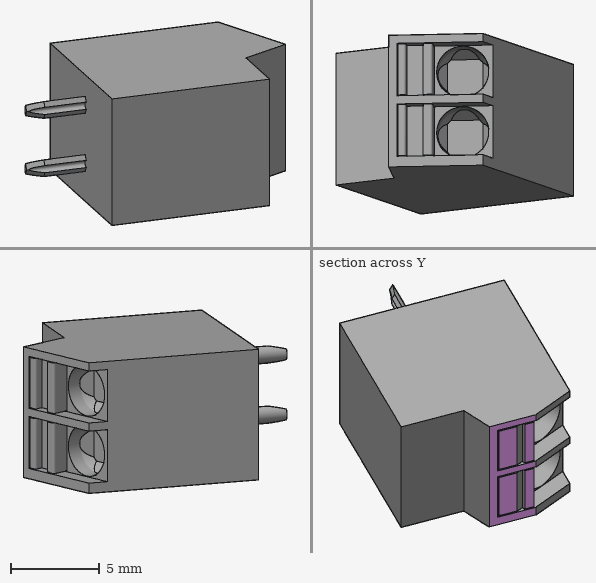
import cadquery as cq
import math

width = 10.0
total_length = 15.9
height = 7.6
pin_length = 3.5
peak_y = total_length - pin_length
peak_x = 4.85
shoulder_y = 9.51
slant_angle = 25.0

terminal_count = 2
terminal_pitch = 3.5
wall = 0.48
pocket_height = terminal_pitch - wall
pocket_depth = 1.0

button_start = 2.85
button_gap = 0.05
button_edge_radius = 0.15
slot_start = 3.39
slot_width = 0.97
slot_depth = 0.5

bore_radius = 1.48
bore_position = 1.24
bore_depth = 0.92
flats_depth = 0.89
funnel_depth = 0.64
cone_angle = 16.0
flat_angle = 35.0

pin_left = 5.3
pin_top_offset = 1.8
pin_bend_radius = 0.5
pin_thickness = 0.33
pin_arm = 0.16
pin_bend_angle = 60.0
pin_tip_length = 1.0
pin_tip_cut = 0.33

slant = math.radians(slant_angle)
slant_length = peak_x / math.cos(slant)
slant_start_y = peak_y - peak_x * math.tan(slant)
overshoot = 1.59


def make_housing():
    shoulder_x = peak_x + (peak_y - shoulder_y) * math.tan(slant)
    return (
        cq.Workplane("XY")
        .moveTo(0, 0)
        .lineTo(width, 0)
        .lineTo(width, shoulder_y)
        .lineTo(shoulder_x, shoulder_y)
        .lineTo(peak_x, peak_y)
        .lineTo(0, slant_start_y)
        .close()
        .extrude(height)
    )


def slanted_sketch(bottom_z):
    """Horizontal sketch: x runs up the slanted face, y points out of the housing."""
    plane = cq.Plane(
        origin=(0, slant_start_y, bottom_z),
        xDir=(math.cos(slant), math.sin(slant), 0),
        normal=(0, 0, 1),
    )
    return cq.Workplane(plane)


def make_pocket(z):
    """Pocket open to the slanted face and to the -X side."""
    return (
        slanted_sketch(z - pocket_height / 2)
        .moveTo(-overshoot, -pocket_depth)
        .lineTo(slant_length - wall, -pocket_depth)
        .lineTo(slant_length - wall, overshoot)
        .lineTo(-overshoot, overshoot)
        .close()
        .extrude(pocket_height)
    )


def make_button(z):
    """Slotted button flush with the slanted face, rounded on the wire-entry side."""
    radius = button_edge_radius
    button_height = pocket_height - 2 * button_gap
    button_end = slant_length - wall - button_gap
    slot_end = slot_start + slot_width
    return (
        slanted_sketch(z - button_height / 2)
        .moveTo(button_start, -pocket_depth)
        .lineTo(button_start, -radius)
        .radiusArc((button_start + radius, 0), radius)
        .lineTo(slot_start, 0)
        .lineTo(slot_start, -slot_depth)
        .lineTo(slot_end, -slot_depth)
        .lineTo(slot_end, -radius)
        .radiusArc((slot_end + radius, 0), radius)
        .lineTo(button_end, 0)
        .lineTo(button_end, -pocket_depth)
        .close()
        .extrude(button_height)
    )


def make_wire_entry(z):
    """Round bore square to the slanted face, ending in a four-sided funnel."""
    slanted_face = cq.Plane(
        origin=(0, slant_start_y, z),
        xDir=(math.cos(slant), math.sin(slant), 0),
        normal=(-math.sin(slant), math.cos(slant), 0),
    )
    floor = (
        cq.Workplane(slanted_face)
        .workplane(offset=-pocket_depth)
        .center(bore_position, 0)
    )
    bore = floor.circle(bore_radius).extrude(-bore_depth)
    cone = (
        floor.workplane(offset=-bore_depth)
        .circle(bore_radius)
        .extrude(-funnel_depth, taper=cone_angle)
    )
    square_top = floor.rect(2 * bore_radius, 2 * bore_radius).extrude(-flats_depth)
    square_funnel = (
        floor.workplane(offset=-flats_depth)
        .rect(2 * bore_radius, 2 * bore_radius)
        .extrude(-(bore_depth + funnel_depth - flats_depth), taper=flat_angle)
    )
    return bore.union(cone).intersect(square_top.union(square_funnel))


def make_pin(z):
    bend = math.radians(pin_bend_angle)
    bend_x = pin_left + pin_bend_radius
    inner_radius = pin_bend_radius - pin_thickness

    def strip_point(radius, side, along):
        """Point on one arm, measured from the end of the bend; side is +1 or -1."""
        x = bend_x - radius * math.cos(bend) + along * math.sin(bend)
        up = radius * math.sin(bend) + along * math.cos(bend)
        return (x, z + side * up)

    pin = (
        cq.Workplane("XZ")
        .moveTo(*strip_point(pin_bend_radius, 1, pin_arm))
        .lineTo(*strip_point(pin_bend_radius, 1, 0))
        .threePointArc((pin_left, z), strip_point(pin_bend_radius, -1, 0))
        .lineTo(*strip_point(pin_bend_radius, -1, pin_arm))
        .lineTo(*strip_point(inner_radius, -1, pin_arm))
        .lineTo(*strip_point(inner_radius, -1, 0))
        .threePointArc((bend_x - inner_radius, z), strip_point(inner_radius, 1, 0))
        .lineTo(*strip_point(inner_radius, 1, pin_arm))
        .close()
        .extrude(pin_length)
    )
    for side in (1, -1):
        end_x, end_z = strip_point(pin_bend_radius, side, pin_arm)
        arm_plane = cq.Plane(
            origin=(end_x, -pin_length, end_z),
            xDir=(math.sin(bend), 0, side * math.cos(bend)),
            normal=(-math.cos(bend), 0, side * math.sin(bend)),
        )
        inward = pin_tip_length * arm_plane.yDir.y
        chamfer = (
            cq.Workplane(arm_plane)
            .moveTo(0, inward)
            .lineTo(-pin_tip_cut, 0)
            .lineTo(0, 0)
            .close()
            .extrude(pin_bend_radius, both=True)
        )
        pin = pin.cut(chamfer)
    return pin


result = make_housing()
for index in range(terminal_count):
    pocket_z = height - wall - pocket_height / 2 - index * terminal_pitch
    pin_z = height - pin_top_offset - index * terminal_pitch
    result = result.cut(make_pocket(pocket_z))
    result = result.cut(make_wire_entry(pocket_z))
    result = result.union(make_button(pocket_z))
    result = result.union(make_pin(pin_z))